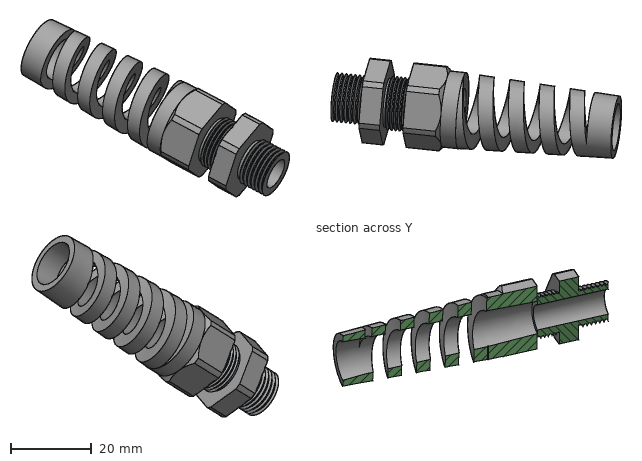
import cadquery as cq
import math


SLEEVE_END = 6.05
COLLAR_START = 38.8
NUT_HEX_START = 42.7
NUT_END = 51.9
FLANGE_START = 57.75
FLANGE_END = 63.0
OVERALL_LENGTH = 70.87

ACROSS_FLATS = 19.05
HEX_INRADIUS = ACROSS_FLATS / 2
HEX_CORNER_RADIUS = 10.57
HEX_CHAMFER_LENGTH = 1.0

SPRING_TIP_RADIUS = 7.79
SPRING_ROOT_RADIUS = 9.46
SPRING_TAPER = (SPRING_ROOT_RADIUS - SPRING_TIP_RADIUS) / COLLAR_START
SLEEVE_END_RADIUS = SPRING_TIP_RADIUS + SPRING_TAPER * SLEEVE_END
SPRING_MOUTH_RADIUS = 5.9
SPRING_BORE_RADIUS = 5.5
SPRING_PITCH = 7.65
COIL_WIDTH = 3.72
SLOT_WIDTH = SPRING_PITCH - COIL_WIDTH
SLOT_OVERSHOOT = 1.0
SLOT_INNER_RADIUS = SPRING_BORE_RADIUS - SLOT_OVERSHOOT
SLOT_OUTER_RADIUS = SPRING_ROOT_RADIUS + SLOT_OVERSHOOT

NUT_BORE_RADIUS = 5.0
BODY_BORE_RADIUS = 3.95
FLANK_SLOPE = math.tan(math.radians(30))
NUT_THREAD_CREST = 6.7
NUT_THREAD_ROOT = 6.1
NUT_THREAD_PITCH = 1.0
NUT_THREAD_RIDGES = 5
ENTRY_THREAD_CREST = 6.1
ENTRY_THREAD_ROOT = 5.4
ENTRY_THREAD_RIDGES = 7
ENTRY_THREAD_PITCH = (OVERALL_LENGTH - FLANGE_END) / ENTRY_THREAD_RIDGES


def revolve_about_x(points):
    """Revolve a closed outline of (x, radius) points about the X axis."""
    return cq.Workplane("XZ").polyline(points).close().revolve(360, (0, 0, 0), (1, 0, 0))


def cylinder(start, end, radius):
    return revolve_about_x([(start, 0), (start, radius), (end, radius), (end, 0)])


def hexagon(start, end):
    """Hexagonal prism with flats facing +Z and -Z and its corners turned to a round."""
    corner_diameter = ACROSS_FLATS / math.cos(math.pi / 6)
    prism = cq.Workplane("YZ", origin=(start, 0, 0)).polygon(6, corner_diameter).extrude(end - start)
    return prism.intersect(cylinder(start, end, HEX_CORNER_RADIUS))


def slot_turns():
    """One-turn tools that join into a helical slot, from before the first coil to past the last."""
    profile = cq.Workplane("XZ").center((SLOT_INNER_RADIUS + SLOT_OUTER_RADIUS) / 2, 0)
    profile = profile.rect(SLOT_OUTER_RADIUS - SLOT_INNER_RADIUS, SLOT_WIDTH)
    path = cq.Wire.makeHelix(SPRING_PITCH, SPRING_PITCH, SLOT_INNER_RADIUS)
    turn = profile.sweep(cq.Workplane(path), isFrenet=True).rotate((0, 0, 0), (0, 1, 0), 90)
    first_start = SLEEVE_END - SPRING_PITCH / 4 - SLOT_WIDTH / 2
    turn_count = math.ceil((COLLAR_START + SLOT_WIDTH / 2 - first_start) / SPRING_PITCH)
    return [turn.translate((first_start + number * SPRING_PITCH, 0, 0)) for number in range(turn_count)]


def make_cap_nut():
    """Hexagonal cap nut with its round collar and the spiral spring in one piece."""
    sleeve = revolve_about_x([
        (0, SPRING_MOUTH_RADIUS),
        (0, SPRING_TIP_RADIUS),
        (SLEEVE_END, SLEEVE_END_RADIUS),
        (SLEEVE_END, SPRING_BORE_RADIUS),
    ])
    coils = revolve_about_x([
        (SLEEVE_END, SPRING_BORE_RADIUS),
        (SLEEVE_END, SLEEVE_END_RADIUS),
        (COLLAR_START, SPRING_ROOT_RADIUS),
        (COLLAR_START, SPRING_BORE_RADIUS),
    ])
    for turn in slot_turns():
        coils = coils.cut(turn)

    chamfer_envelope = revolve_about_x([
        (NUT_HEX_START, 0),
        (NUT_HEX_START, HEX_INRADIUS),
        (NUT_HEX_START + HEX_CHAMFER_LENGTH, HEX_CORNER_RADIUS),
        (NUT_END, HEX_CORNER_RADIUS),
        (NUT_END, 0),
    ])
    hex_part = hexagon(NUT_HEX_START, NUT_END).intersect(chamfer_envelope)
    tapered_bore = revolve_about_x([
        (COLLAR_START, 0),
        (COLLAR_START, SPRING_BORE_RADIUS),
        (NUT_END, NUT_BORE_RADIUS),
        (NUT_END, 0),
    ])
    collar = cylinder(COLLAR_START, NUT_HEX_START, HEX_INRADIUS)
    nut = collar.union(hex_part).cut(tapered_bore)
    return nut.union(sleeve.union(coils))


def ridged_shank(start, end, crest, root, pitch, ridges):
    """Thread shank with separate V ridges, the first one a pitch from the start.

    A last ridge that peaks at the end face is cut in half by it.
    """
    half_width = (crest - root) * FLANK_SLOPE
    outline = [(start, 0), (start, root)]
    for number in range(1, ridges + 1):
        peak = start + number * pitch
        outline += [(peak - half_width, root), (peak, crest)]
        if peak + half_width < end:
            outline.append((peak + half_width, root))
    if outline[-1][1] == root:
        outline.append((end, root))
    outline.append((end, 0))
    return revolve_about_x(outline)


def make_gland_body():
    """Hexagonal flange between the thread for the cap nut and the entry thread, bored through."""
    nut_thread = ridged_shank(
        NUT_END, FLANGE_START, NUT_THREAD_CREST, NUT_THREAD_ROOT, NUT_THREAD_PITCH, NUT_THREAD_RIDGES
    )
    entry_thread = ridged_shank(
        FLANGE_END, OVERALL_LENGTH, ENTRY_THREAD_CREST, ENTRY_THREAD_ROOT,
        ENTRY_THREAD_PITCH, ENTRY_THREAD_RIDGES,
    )
    body = hexagon(FLANGE_START, FLANGE_END).union(nut_thread).union(entry_thread)
    return body.cut(cylinder(NUT_END, OVERALL_LENGTH, BODY_BORE_RADIUS))


cap_nut = make_cap_nut()
gland_body = make_gland_body()

result = cq.Compound.makeCompound([cap_nut.val(), gland_body.val()])